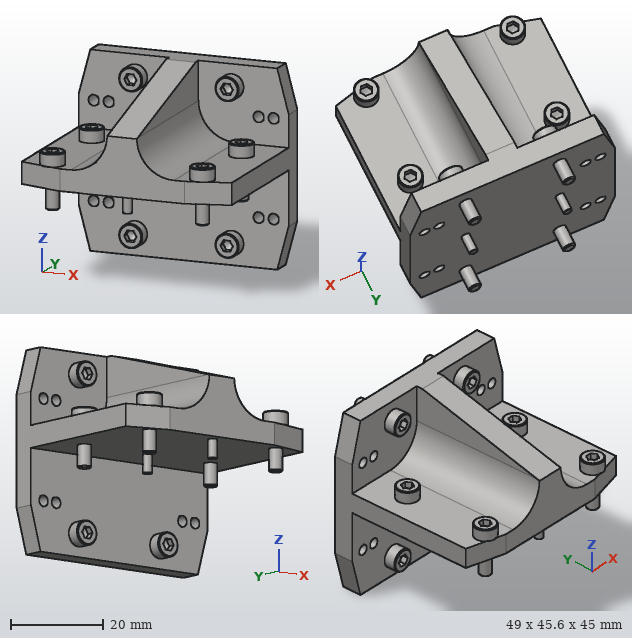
import cadquery as cq
import math


WIDTH = 49.0
PLATE_HEIGHT = 45.0
THICKNESS = 5.0
SHELF_REACH = 35.5
CORNER_LENGTH = 10.0
TAPER_ANGLE = math.radians(15)
CORNER_DEPTH = CORNER_LENGTH * math.tan(TAPER_ANGLE)

RIB_WIDTH = 6.9
RIB_FLARE_RADIUS = 8.58
RIB_TOP_FLAT = 1.5

LONG_SPACING = 35.0
SHORT_SPACING = 22.5
SHELF_SCREW_INSET = 3.25
HOLE_DIAMETER = 2.45
OUTER_HOLE_SPACING = 42.0

SHANK_DIAMETER = 3.0
SHANK_PROTRUSION = 5.05
SHANK_CHAMFER = 0.3
HEAD_DIAMETER = 5.5
HEAD_HEIGHT = 3.0
HEAD_CHAMFER = 0.25
SOCKET_ACROSS_CORNERS = 2.9
SOCKET_DEPTH = 1.45
SOCKET_POINT_DEPTH = 0.85

PIN_DIAMETER = 2.0
PIN_PROTRUSION = 4.2
PIN_CHAMFER = 0.1

HALF_WIDTH = WIDTH / 2
HALF_HEIGHT = PLATE_HEIGHT / 2
HALF_RIB = RIB_WIDTH / 2
FLARE_TOP = THICKNESS + RIB_FLARE_RADIUS
SHELF_ROW_CENTER = -SHELF_REACH + SHELF_SCREW_INSET + SHORT_SPACING / 2


def make_plate():
    """Back plate with four cut corners."""
    right_edge = [
        (HALF_WIDTH - CORNER_DEPTH, -HALF_HEIGHT),
        (HALF_WIDTH, -HALF_HEIGHT + CORNER_LENGTH),
        (HALF_WIDTH, HALF_HEIGHT - CORNER_LENGTH),
        (HALF_WIDTH - CORNER_DEPTH, HALF_HEIGHT),
    ]
    left_edge = [(-x, z) for x, z in reversed(right_edge)]
    return cq.Workplane("XZ").polyline(right_edge + left_edge).close().extrude(-THICKNESS)


def make_shelf():
    """Shelf with two cut front corners; it overlaps the back plate."""
    outline = [
        (-HALF_WIDTH, THICKNESS),
        (-HALF_WIDTH, -SHELF_REACH + CORNER_DEPTH),
        (-HALF_WIDTH + CORNER_LENGTH, -SHELF_REACH),
        (HALF_WIDTH - CORNER_LENGTH, -SHELF_REACH),
        (HALF_WIDTH, -SHELF_REACH + CORNER_DEPTH),
        (HALF_WIDTH, THICKNESS),
    ]
    return cq.Workplane("XY").polyline(outline).close().extrude(THICKNESS)


def make_rib():
    """Rib with concave flared sides, its top sloping down to the front."""
    foot = HALF_RIB + RIB_FLARE_RADIUS
    arc_mid_x = foot - RIB_FLARE_RADIUS * math.cos(math.pi / 4)
    arc_mid_z = FLARE_TOP - RIB_FLARE_RADIUS * math.sin(math.pi / 4)
    section = (
        cq.Workplane("XZ")
        .moveTo(-foot, 0)
        .lineTo(foot, 0)
        .lineTo(foot, THICKNESS)
        .threePointArc((arc_mid_x, arc_mid_z), (HALF_RIB, FLARE_TOP))
        .lineTo(HALF_RIB, HALF_HEIGHT)
        .lineTo(-HALF_RIB, HALF_HEIGHT)
        .lineTo(-HALF_RIB, FLARE_TOP)
        .threePointArc((-arc_mid_x, arc_mid_z), (-foot, THICKNESS))
        .close()
        .extrude(SHELF_REACH)
    )
    front_height = HALF_HEIGHT - (SHELF_REACH - RIB_TOP_FLAT) * math.tan(TAPER_ANGLE)
    above_slope = (
        cq.Workplane("YZ")
        .polyline([
            (-SHELF_REACH, front_height),
            (-RIB_TOP_FLAT, HALF_HEIGHT),
            (-SHELF_REACH, HALF_HEIGHT),
        ])
        .close()
        .extrude(HALF_WIDTH, both=True)
    )
    return section.cut(above_slope)


def make_plate_holes():
    """Through holes of the back plate, two in each corner region."""
    holes = cq.Workplane("XZ")
    for spacing in (LONG_SPACING, OUTER_HOLE_SPACING):
        holes = holes.rarray(spacing, SHORT_SPACING, 2, 2).circle(HOLE_DIAMETER / 2)
        holes = holes.extrude(-THICKNESS)
    return holes


def make_socket():
    """Hexagonal recess with a conical bottom, opening upward at Z = HEAD_HEIGHT."""
    radius = SOCKET_ACROSS_CORNERS / 2
    floor = HEAD_HEIGHT - SOCKET_DEPTH
    point = floor - SOCKET_POINT_DEPTH
    hexagon = (
        cq.Workplane("XY", origin=(0, 0, point))
        .polygon(6, SOCKET_ACROSS_CORNERS)
        .extrude(HEAD_HEIGHT - point)
    )
    drill = (
        cq.Workplane("XZ")
        .polyline([(0, point), (radius, floor), (radius, HEAD_HEIGHT), (0, HEAD_HEIGHT)])
        .close()
        .revolve(360, (0, 0), (0, 1))
    )
    return hexagon.intersect(drill)


def make_screw():
    """Screw along Z, its head seated on the plane Z = 0."""
    head = (
        cq.Workplane("XY").circle(HEAD_DIAMETER / 2).extrude(HEAD_HEIGHT)
        .faces(">Z").chamfer(HEAD_CHAMFER)
    )
    shank = (
        cq.Workplane("XY").circle(SHANK_DIAMETER / 2).extrude(-THICKNESS - SHANK_PROTRUSION)
        .faces("<Z").chamfer(SHANK_CHAMFER)
    )
    return head.union(shank).cut(make_socket())


def make_pin():
    """Dowel pin along Z, its upper end flush with the plane Z = 0."""
    return (
        cq.Workplane("XY").circle(PIN_DIAMETER / 2).extrude(-THICKNESS - PIN_PROTRUSION)
        .faces("<Z").chamfer(PIN_CHAMFER)
    )


def facing_front(fastener):
    """Turn an upright fastener so that its head points toward -Y."""
    return fastener.rotate((0, 0, 0), (1, 0, 0), 90)


screw = make_screw()
pin = make_pin()

result = make_plate().union(make_shelf()).union(make_rib()).cut(make_plate_holes())

for side in (-1, 1):
    short_offset = side * SHORT_SPACING / 2
    shelf_row = SHELF_ROW_CENTER + short_offset

    result = result.union(facing_front(pin).translate((short_offset, 0, 0)))
    result = result.union(pin.translate((0, shelf_row, THICKNESS)))

    for end in (-1, 1):
        long_offset = end * LONG_SPACING / 2
        result = result.union(facing_front(screw).translate((short_offset, 0, long_offset)))
        result = result.union(screw.translate((long_offset, shelf_row, THICKNESS)))